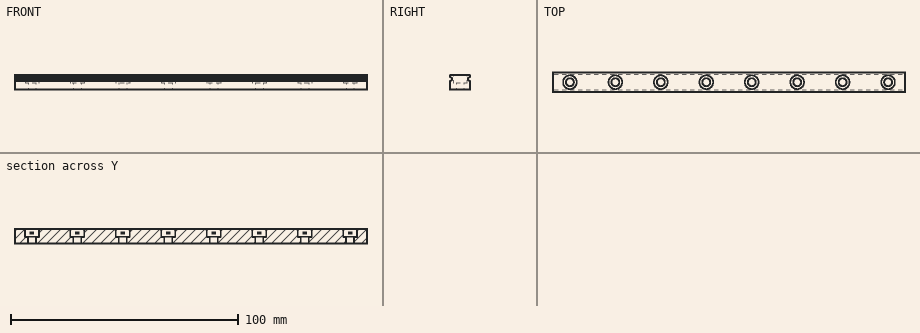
import cadquery as cq

length = 155.0
width = 9.0
height = 6.5
edge_chamfer = 0.3

groove_top_drop = 1.0
groove_opening = 1.9
groove_floor = 0.6
groove_depth = 1.1

hole_count = 8
hole_pitch = 20.0
hole_diameter = 3.4
counterbore_diameter = 6.0
counterbore_depth = 3.5


def make_body():
    """Plain bar with both upper long edges chamfered."""
    bar = cq.Workplane("XY").box(length, width, height, centered=(True, True, False))
    return bar.faces(">Z").edges("|X").chamfer(edge_chamfer)


def make_groove():
    """Trapezoidal groove cutter for the -Y side."""
    side = -width / 2
    floor = side + groove_depth
    top = height - groove_top_drop
    bottom = top - groove_opening
    slope_rise = (groove_opening - groove_floor) / 2
    outline = [
        (side, top),
        (floor, top - slope_rise),
        (floor, bottom + slope_rise),
        (side, bottom),
    ]
    return cq.Workplane("YZ").polyline(outline).close().extrude(length / 2, both=True)


def drill_mounting_holes(rail):
    """Row of counterbored through holes, centred along the rail."""
    return (
        rail.faces(">Z")
        .workplane(origin=(0, 0, height))
        .rarray(hole_pitch, 1.5, hole_count, 1)
        .cboreHole(hole_diameter, counterbore_diameter, counterbore_depth)
    )


groove = make_groove()
rail = make_body().cut(groove).cut(groove.mirror("XZ"))
result = drill_mounting_holes(rail)